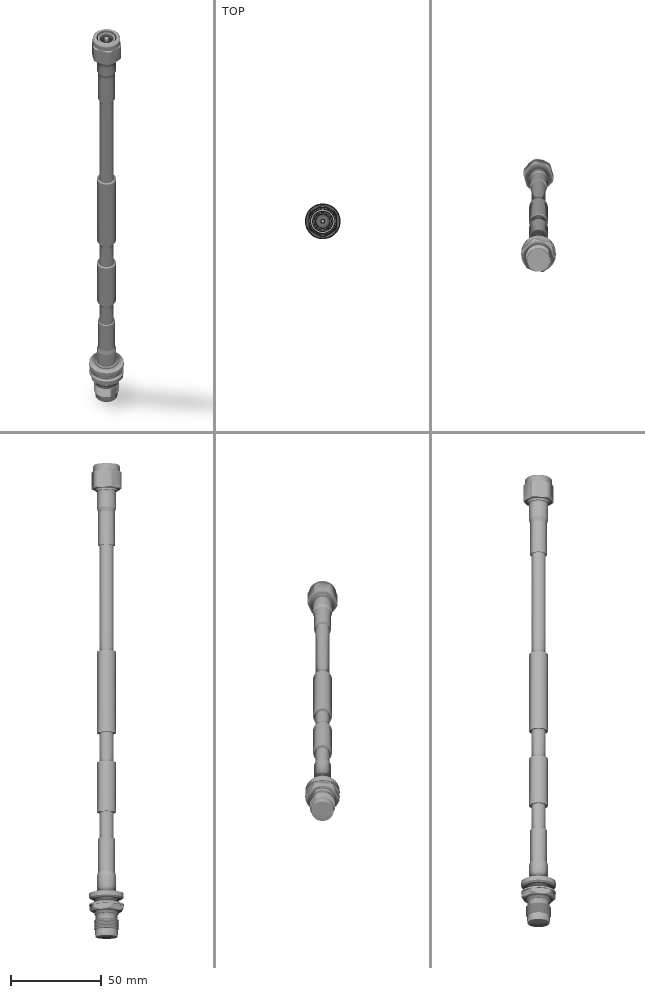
import cadquery as cq
import math

TOTAL_LENGTH = 265.7

CABLE_DIA = 8.0
BOOT_DIA = 9.3
BOOT_LENGTH = 18.5
MARKER_DIA = 10.4
LONG_MARKER_BOTTOM = 114.8
LONG_MARKER_LENGTH = 46.0
SHORT_MARKER_BOTTOM = 70.2
SHORT_MARKER_LENGTH = 28.2

TAIL_DIA = 10.5
TAIL_TIP_DIA = BOOT_DIA
TAIL_TIP_LENGTH = 2.5
COLLAR_HEIGHT = 1.0
COLLAR_DIA = 12.2

PLUG_BOTTOM = 239.1
PLUG_HEX_BOTTOM = 252.2
PLUG_HEX_TOP = 262.0
PLUG_HEX_FLATS = 15.5
PLUG_HEX_CORNERS = 16.7
PLUG_HEX_BEVEL_HEIGHT = 0.5
PLUG_HEX_BEVEL_DIA = 17.5
PLUG_RIM_DIA = 15.1
PLUG_RIM_BEVEL = 0.8
PLUG_BORE_DIA = 11.2
PLUG_BORE_DEPTH = 8.0
CONTACT_SLEEVE_DIA = 9.5
CONTACT_SLEEVE_BORE = 8.0
CONTACT_SLEEVE_RECESS = 0.8
PIN_DIA = 2.0
PIN_RECESS = 0.8

JACK_TOP = 36.7
FLANGE_DIA = 19.0
FLANGE_TOP = 24.5
FLANGE_BOTTOM = 22.0
SEAL_LIP_DIA = 17.0
SEAL_LIP_HEIGHT = 0.8
THREAD_DIA = 14.0
THREAD_FLATS = 12.8
THREAD_PITCH = 0.8
THREAD_DEPTH = 0.5
UPPER_THREAD_BOTTOM = 12.5
LOWER_THREAD_TOP = 9.5
LOWER_THREAD_BOTTOM = 4.0
RELIEF_DIA = 12.0
NOSE_DIA = 12.5
NOSE_BEVEL_HEIGHT = 1.0
NOSE_TIP_DIA = 12.2
THREAD_RUNOUT = 1.0

NUT_TOP = 19.0
NUT_BOTTOM = 14.3
NUT_BOSS_DIA = 15.5
NUT_BOSS_HEIGHT = 0.8
NUT_COLLAR_DIA = FLANGE_DIA
NUT_COLLAR_HEIGHT = 0.8
NUT_HEX_FLATS = 17.0
NUT_BEVEL_HEIGHT = 1.0

HEX_SIDES = 6
FLATS_FACING_X = 30
CORNERS_FACING_X = 0


def disc(diameter, bottom, top):
    """Solid cylinder on the Z axis."""
    return cq.Workplane("XY").workplane(offset=bottom).circle(diameter / 2).extrude(top - bottom)


def turned(profile):
    """Solid of revolution from (diameter, z) corners, closed along the Z axis."""
    points = [(0, profile[0][1])]
    points += [(diameter / 2, z) for diameter, z in profile]
    points.append((0, profile[-1][1]))
    return cq.Workplane("XZ").polyline(points).close().revolve(360, (0, 0), (0, 1))


def hex_bar(across_flats, bottom, top, turn):
    """Hexagonal bar on the Z axis, turned by an angle in degrees."""
    across_corners = across_flats / math.cos(math.pi / HEX_SIDES)
    base = cq.Workplane("XY").workplane(offset=bottom)
    bar = base.polygon(HEX_SIDES, across_corners).extrude(top - bottom)
    return bar.rotate((0, 0, 0), (0, 0, 1), turn)


def make_sleeve(diameter, bottom, length):
    """Tube that fits closely round the cable."""
    return disc(diameter, bottom, bottom + length).cut(disc(CABLE_DIA, bottom, bottom + length))


def make_cable():
    return disc(CABLE_DIA, JACK_TOP, PLUG_BOTTOM)


def make_plug_hex():
    """Hexagon with flattened corners and bevelled ends."""
    bar = hex_bar(PLUG_HEX_FLATS, PLUG_HEX_BOTTOM, PLUG_HEX_TOP, FLATS_FACING_X)
    corner_trim = hex_bar(PLUG_HEX_CORNERS, PLUG_HEX_BOTTOM, PLUG_HEX_TOP, CORNERS_FACING_X)
    bevel_trim = turned([
        (PLUG_HEX_FLATS, PLUG_HEX_BOTTOM),
        (PLUG_HEX_BEVEL_DIA, PLUG_HEX_BOTTOM + PLUG_HEX_BEVEL_HEIGHT),
        (PLUG_HEX_BEVEL_DIA, PLUG_HEX_TOP - PLUG_HEX_BEVEL_HEIGHT),
        (PLUG_HEX_FLATS, PLUG_HEX_TOP),
    ])
    return bar.intersect(corner_trim).intersect(bevel_trim)


def make_plug():
    collar_bottom = PLUG_HEX_BOTTOM - COLLAR_HEIGHT
    outside = turned([
        (TAIL_TIP_DIA, PLUG_BOTTOM),
        (TAIL_DIA, PLUG_BOTTOM + TAIL_TIP_LENGTH),
        (TAIL_DIA, collar_bottom),
        (COLLAR_DIA, collar_bottom),
        (COLLAR_DIA, PLUG_HEX_BOTTOM),
        (PLUG_RIM_DIA, PLUG_HEX_BOTTOM),
        (PLUG_RIM_DIA, TOTAL_LENGTH - PLUG_RIM_BEVEL),
        (PLUG_RIM_DIA - 2 * PLUG_RIM_BEVEL, TOTAL_LENGTH),
    ])
    bore_floor = TOTAL_LENGTH - PLUG_BORE_DEPTH
    sleeve_top = TOTAL_LENGTH - CONTACT_SLEEVE_RECESS
    contact_sleeve = disc(CONTACT_SLEEVE_DIA, bore_floor, sleeve_top)
    contact_sleeve = contact_sleeve.cut(disc(CONTACT_SLEEVE_BORE, bore_floor, sleeve_top))
    pin = disc(PIN_DIA, bore_floor, TOTAL_LENGTH - PIN_RECESS)
    shell = outside.union(make_plug_hex()).cut(disc(PLUG_BORE_DIA, bore_floor, TOTAL_LENGTH))
    return shell.union(contact_sleeve).union(pin)


def make_thread(bottom, top):
    """Stack of thread ridges with two flats square to X."""
    root_dia = THREAD_DIA - 2 * THREAD_DEPTH
    ridge_count = round((top - bottom) / THREAD_PITCH)
    pitch = (top - bottom) / ridge_count
    profile = [(root_dia, bottom)]
    for ridge in range(ridge_count):
        ridge_bottom = bottom + ridge * pitch
        profile.append((THREAD_DIA, ridge_bottom + pitch / 2))
        profile.append((root_dia, ridge_bottom + pitch))
    flats = cq.Workplane("XY").workplane(offset=bottom).rect(THREAD_FLATS, FLANGE_DIA).extrude(top - bottom)
    return turned(profile).intersect(flats)


def make_jack():
    core = turned([
        (NOSE_TIP_DIA, 0),
        (NOSE_DIA, NOSE_BEVEL_HEIGHT),
        (NOSE_DIA, LOWER_THREAD_BOTTOM),
        (RELIEF_DIA, LOWER_THREAD_BOTTOM),
        (RELIEF_DIA, UPPER_THREAD_BOTTOM - THREAD_RUNOUT),
        (NOSE_DIA, UPPER_THREAD_BOTTOM),
        (NOSE_DIA, FLANGE_BOTTOM - SEAL_LIP_HEIGHT),
        (SEAL_LIP_DIA, FLANGE_BOTTOM - SEAL_LIP_HEIGHT),
        (FLANGE_DIA, FLANGE_BOTTOM),
        (FLANGE_DIA, FLANGE_TOP),
        (COLLAR_DIA, FLANGE_TOP),
        (COLLAR_DIA, FLANGE_TOP + COLLAR_HEIGHT),
        (TAIL_DIA, FLANGE_TOP + COLLAR_HEIGHT),
        (TAIL_DIA, JACK_TOP - TAIL_TIP_LENGTH),
        (TAIL_TIP_DIA, JACK_TOP),
    ])
    upper_thread = make_thread(UPPER_THREAD_BOTTOM, FLANGE_BOTTOM - SEAL_LIP_HEIGHT)
    lower_thread = make_thread(LOWER_THREAD_BOTTOM, LOWER_THREAD_TOP)
    return core.union(upper_thread).union(lower_thread)


def make_nut(jack):
    """Hexagon nut with a round collar and a low boss on top, threaded to match the jack."""
    collar_top = NUT_TOP - NUT_BOSS_HEIGHT
    collar_bottom = collar_top - NUT_COLLAR_HEIGHT
    bar = hex_bar(NUT_HEX_FLATS, NUT_BOTTOM, collar_bottom, FLATS_FACING_X)
    bevel_trim = turned([
        (NUT_HEX_FLATS, NUT_BOTTOM),
        (NUT_COLLAR_DIA, NUT_BOTTOM + NUT_BEVEL_HEIGHT),
        (NUT_COLLAR_DIA, collar_bottom),
    ])
    collar = disc(NUT_COLLAR_DIA, collar_bottom, collar_top)
    boss = disc(NUT_BOSS_DIA, collar_top, NUT_TOP)
    return bar.intersect(bevel_trim).union(collar).union(boss).cut(jack)


cable = make_cable()
boots = [
    make_sleeve(BOOT_DIA, bottom, BOOT_LENGTH)
    for bottom in (JACK_TOP, PLUG_BOTTOM - BOOT_LENGTH)
]
long_marker = make_sleeve(MARKER_DIA, LONG_MARKER_BOTTOM, LONG_MARKER_LENGTH)
short_marker = make_sleeve(MARKER_DIA, SHORT_MARKER_BOTTOM, SHORT_MARKER_LENGTH)
plug = make_plug()
jack = make_jack()
nut = make_nut(jack)

result = cq.Compound.makeCompound([
    cable.val(),
    *[boot.val() for boot in boots],
    long_marker.val(),
    short_marker.val(),
    plug.val(),
    jack.val(),
    nut.val(),
])